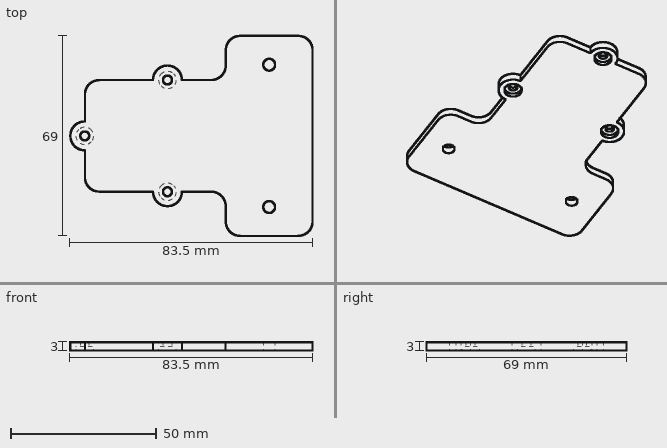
import cadquery as cq

length = 83.5
head_width = 69.0
thickness = 3.0

head_length = 30.0
body_width = 38.5
corner_radius = 5.0

ear_radius = 5.0
ear_hole_diameter = 3.0
ear_counterbore_diameter = 6.0
ear_counterbore_depth = 1.5
side_ear_offset = 28.5

head_hole_diameter = 4.0
head_hole_spacing = 49.0

head_end_x = length / 2
head_start_x = head_end_x - head_length
body_start_x = -length / 2 + ear_radius
side_ear_x = body_start_x + side_ear_offset
head_hole_x = head_end_x - head_length / 2

ear_centers = [
    (body_start_x, 0),
    (side_ear_x, body_width / 2),
    (side_ear_x, -body_width / 2),
]
head_hole_centers = [(head_hole_x, side * head_hole_spacing / 2) for side in (-1, 1)]


def make_plate():
    """T-shaped plate with every outer and inner corner rounded."""
    outline = [
        (body_start_x, -body_width / 2),
        (head_start_x, -body_width / 2),
        (head_start_x, -head_width / 2),
        (head_end_x, -head_width / 2),
        (head_end_x, head_width / 2),
        (head_start_x, head_width / 2),
        (head_start_x, body_width / 2),
        (body_start_x, body_width / 2),
    ]
    plate = cq.Workplane("XY").polyline(outline).close().extrude(thickness)
    return plate.edges("|Z").fillet(corner_radius)


def make_cylinders(centers, diameter, height=thickness):
    """Upright cylinders rising from the underside of the plate."""
    return cq.Workplane("XY").pushPoints(centers).circle(diameter / 2).extrude(height)


result = (
    make_plate()
    .union(make_cylinders(ear_centers, 2 * ear_radius))
    .cut(make_cylinders(ear_centers, ear_hole_diameter))
    .cut(make_cylinders(ear_centers, ear_counterbore_diameter, ear_counterbore_depth))
    .cut(make_cylinders(head_hole_centers, head_hole_diameter))
)